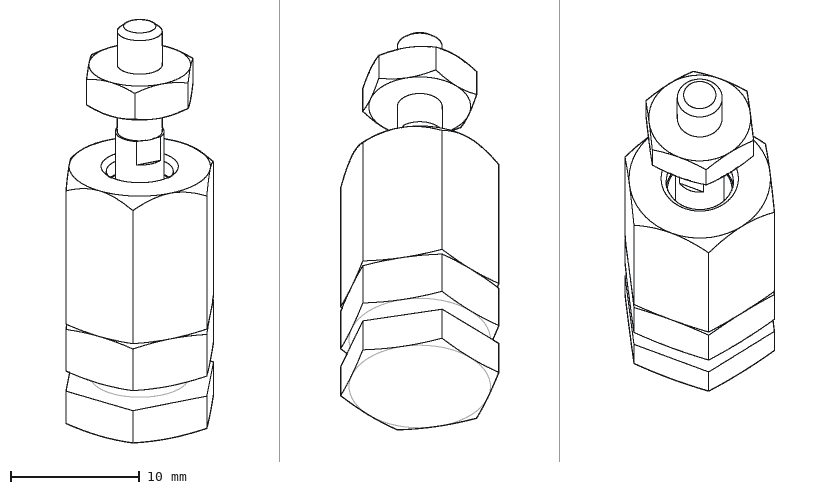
import cadquery as cq
import math


large_flats = 11.0
small_flats = 7.92
flats_to_x_turn = 30
shallow_angle = 15
jam_nut_angle = 30
housing_top_angle = 45

head_top = 3.0
lock_nut_bottom = 4.5
housing_bottom = 8.5
housing_top = 21.0
collar_top = 24.0
jam_nut_bottom = 26.8
jam_nut_height = 2.9
stud_top = 33

shank_diameter = 6.47
shank_fillet = 0.6
shank_top = 15.0

mouth_diameter = 6.0
bore_diameter = 5.2
seat_bore_diameter = 5.0
bore_depth = 1.52
seat_top = housing_top - bore_depth

thread_diameter = 3.5
tip_diameter = 2.5
tip_height = 0.43
collar_diameter = 3.8
wrench_flats = 3.2
wrench_flat_length = 2.0


def cylinder(diameter, bottom, top):
    return cq.Workplane("XY").workplane(offset=bottom).circle(diameter / 2).extrude(top - bottom)


def corner_cone(across_flats, bottom, top, bottom_angle, top_angle):
    """Turned blank that bevels the hexagon corners outside the circle touching its flats."""
    face_radius = across_flats / 2
    corner_radius = across_flats / math.sqrt(3)
    overhang = corner_radius - face_radius
    bottom_drop = overhang * math.tan(math.radians(bottom_angle))
    top_drop = overhang * math.tan(math.radians(top_angle))
    profile = cq.Workplane("XZ").moveTo(0, bottom).lineTo(face_radius, bottom)
    profile = profile.lineTo(corner_radius, bottom + bottom_drop)
    if top_angle:
        profile = profile.lineTo(corner_radius, top - top_drop).lineTo(face_radius, top)
    else:
        profile = profile.lineTo(corner_radius, top)
    return profile.lineTo(0, top).close().revolve(360, (0, 0, 0), (0, 1, 0))


def hexagon(across_flats, bottom, top, bottom_angle, top_angle):
    """Hexagonal prism with beveled corners; a top angle of 0 leaves the upper corners sharp."""
    corner_diameter = across_flats * 2 / math.sqrt(3)
    prism = cq.Workplane("XY").workplane(offset=bottom).polygon(6, corner_diameter).extrude(top - bottom)
    prism = prism.rotate((0, 0, 0), (0, 0, 1), flats_to_x_turn)
    return prism.intersect(corner_cone(across_flats, bottom, top, bottom_angle, top_angle))


def make_plug():
    head = hexagon(large_flats, 0, head_top, shallow_angle, 0)
    head_face = head.faces(">Z").workplane(origin=(0, 0, head_top))
    plug = head_face.circle(shank_diameter / 2).extrude(shank_top - head_top)
    shank_root = plug.faces("|Z").faces(">Z[-2]").edges("%CIRCLE")
    return shank_root.fillet(shank_fillet)


def make_lock_nut():
    nut = hexagon(large_flats, lock_nut_bottom, housing_bottom, shallow_angle, shallow_angle)
    return nut.cut(cylinder(shank_diameter, lock_nut_bottom, housing_bottom))


def make_housing():
    housing = hexagon(large_flats, housing_bottom, housing_top, shallow_angle, housing_top_angle)
    housing = housing.cut(cylinder(shank_diameter, housing_bottom, seat_top))
    housing = housing.cut(cylinder(bore_diameter, seat_top, housing_top))
    mouth_chamfer = (mouth_diameter - bore_diameter) / 2
    mouth_edge = housing.faces(">Z").edges(cq.selectors.RadiusNthSelector(0))
    return mouth_edge.chamfer(mouth_chamfer)


def make_seat_ring():
    """Ring in the housing bore between the plug shank and the shoulder below the mouth."""
    ring = cylinder(shank_diameter, shank_top, seat_top)
    return ring.cut(cylinder(seat_bore_diameter, shank_top, seat_top))


def make_stud():
    collar = cylinder(collar_diameter, shank_top, collar_top)
    flat_cuts = (
        cq.Workplane("XY")
        .workplane(offset=collar_top - wrench_flat_length)
        .rect(collar_diameter, collar_diameter)
        .rect(wrench_flats, collar_diameter)
        .extrude(wrench_flat_length)
    )
    thread = cylinder(thread_diameter, collar_top, stud_top)
    thread = thread.faces(">Z").chamfer(tip_height, (thread_diameter - tip_diameter) / 2)
    return collar.cut(flat_cuts).union(thread)


def make_jam_nut():
    top = jam_nut_bottom + jam_nut_height
    nut = hexagon(small_flats, jam_nut_bottom, top, jam_nut_angle, jam_nut_angle)
    return nut.cut(cylinder(thread_diameter, jam_nut_bottom, top))


plug = make_plug()
lock_nut = make_lock_nut()
housing = make_housing()
seat_ring = make_seat_ring()
stud = make_stud()
jam_nut = make_jam_nut()

result = cq.Compound.makeCompound([
    plug.val(),
    lock_nut.val(),
    housing.val(),
    seat_ring.val(),
    stud.val(),
    jam_nut.val(),
])